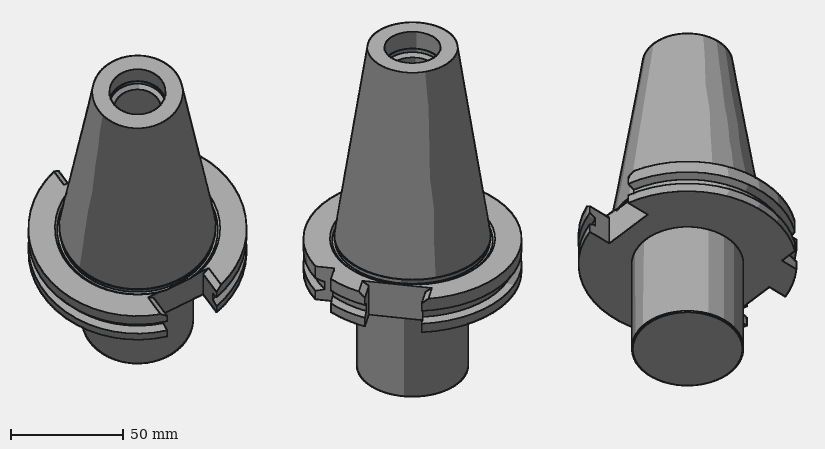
import cadquery as cq
import math

total_height = 171.6

shank_radius = 50.0 / 2
shank_chamfer = 0.5

flange_radius = 48.7
flange_bottom = 51.0
flange_top = 68.8
groove_root_radius = 45.5
groove_bottom = 55.6
groove_root_bottom = 57.0
groove_root_top = 61.0
groove_top = 62.5

taper_bottom = 70.0
taper_base_radius = 35.0
taper_slope = 7 / 48
taper_top_radius = taper_base_radius - taper_slope * (total_height - taper_bottom)
neck_radius = 69.3 / 2

relief_outer_radius = 36.9
relief_floor_radius = 35.9
relief_depth = 1.0

slot_width = 25.7
left_slot_floor = 37.4
right_slot_floor = 35.3
slot_chamfer_width = 3.0
slot_chamfer_depth = 2.4

notch_wall = 29.9

bore_radius = 25.0 / 2
bore_depth = 9.1
bore_relief_radius = 25.4 / 2
bore_relief_depth = 11.2
inner_bore_radius = 21.0 / 2
inner_bore_depth = 42.9
seat_angle = math.radians(30)
drill_half_angle = math.radians(59)


def revolve_profile(points):
    """Revolve a closed (radius, Z) outline around the Z axis."""
    return cq.Workplane("XZ").polyline(points).close().revolve(360, (0, 0, 0), (0, 1, 0))


def make_body():
    return revolve_profile([
        (0, 0),
        (shank_radius - shank_chamfer, 0),
        (shank_radius, shank_chamfer),
        (shank_radius, flange_bottom),
        (flange_radius, flange_bottom),
        (flange_radius, groove_bottom),
        (groove_root_radius, groove_root_bottom),
        (groove_root_radius, groove_root_top),
        (flange_radius, groove_top),
        (flange_radius, flange_top),
        (relief_outer_radius, flange_top),
        (relief_floor_radius, flange_top - relief_depth),
        (neck_radius, flange_top - relief_depth),
        (neck_radius, taper_bottom),
        (taper_base_radius, taper_bottom),
        (taper_top_radius, total_height),
        (0, total_height),
    ])


def make_bore():
    seat_drop = (bore_relief_radius - inner_bore_radius) * math.tan(seat_angle)
    tip_drop = inner_bore_radius / math.tan(drill_half_angle)
    return revolve_profile([
        (0, total_height),
        (bore_radius, total_height),
        (bore_radius, total_height - bore_depth),
        (bore_relief_radius, total_height - bore_depth),
        (bore_relief_radius, total_height - bore_relief_depth),
        (inner_bore_radius, total_height - bore_relief_depth - seat_drop),
        (inner_bore_radius, total_height - inner_bore_depth),
        (0, total_height - inner_bore_depth - tip_drop),
    ])


def make_drive_slot(side, floor):
    """Slot through the flange with chamfered upper edges; side is -1 or +1 along X."""
    half_width = slot_width / 2
    chamfer_half_width = half_width + slot_chamfer_width
    return (
        cq.Workplane("YZ")
        .workplane(offset=side * floor)
        .polyline([
            (-half_width, flange_bottom),
            (half_width, flange_bottom),
            (half_width, flange_top - slot_chamfer_depth),
            (chamfer_half_width, flange_top),
            (-chamfer_half_width, flange_top),
            (-half_width, flange_top - slot_chamfer_depth),
        ])
        .close()
        .extrude(side * (flange_radius - floor))
    )


def make_orientation_notch():
    size = flange_radius - notch_wall
    return (
        cq.Workplane("XY")
        .box(size, size, flange_top - flange_bottom, centered=False)
        .translate((-flange_radius, notch_wall, flange_bottom))
    )


result = (
    make_body()
    .cut(make_bore())
    .cut(make_drive_slot(-1, left_slot_floor))
    .cut(make_drive_slot(1, right_slot_floor))
    .cut(make_orientation_notch())
)